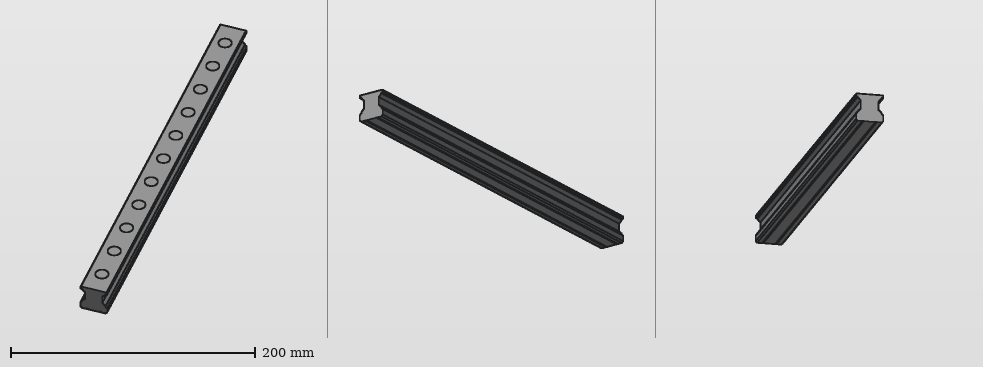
import cadquery as cq

length = 340.0
width = 23.0
height = 23.5

head_half_width = width / 2
neck_half_width = 7.5
raceway_half_width = 10.2
foot_top = 6.0
raceway_bottom = 8.0
waist_height = 14.3
lip_bottom = 21.0
base_chamfer = 1.5
top_chamfer = 0.5

raceway_rise = raceway_half_width - neck_half_width
raceway_top = 2 * waist_height - raceway_bottom
neck_bottom = raceway_bottom + raceway_rise
neck_top = raceway_top - raceway_rise

shoulder_top = foot_top + head_half_width - raceway_half_width

groove_inner_edge = 5.0
groove_width = 1.0
groove_depth = 0.5
groove_offset = groove_inner_edge + groove_width / 2

cap_count = 11
end_margin = 20.0
cap_pitch = (length - 2 * end_margin) / (cap_count - 1)
cap_diameter = 11.0
cap_recess = 0.17


def make_rail():
    """Extrude the waisted, left-right symmetric section along Y."""
    right_side = [
        (head_half_width - base_chamfer, 0),
        (head_half_width, base_chamfer),
        (head_half_width, foot_top),
        (raceway_half_width, shoulder_top),
        (raceway_half_width, raceway_bottom),
        (neck_half_width, neck_bottom),
        (neck_half_width, neck_top),
        (raceway_half_width, raceway_top),
        (raceway_half_width, lip_bottom),
        (head_half_width, lip_bottom),
        (head_half_width, height - top_chamfer),
        (head_half_width - top_chamfer, height),
    ]
    left_side = [(-x, z) for x, z in reversed(right_side)]
    section = cq.Workplane("XZ").polyline(right_side + left_side).close()
    return section.extrude(length / 2, both=True)


def make_cap_recesses():
    """Shallow round recesses, evenly spaced and centred on the rail."""
    return (
        cq.Workplane("XY", origin=(0, 0, height))
        .rarray(3.5, cap_pitch, 1, cap_count)
        .circle(cap_diameter / 2)
        .extrude(-cap_recess)
    )


def make_base_grooves():
    """Two full-length slots, one each side of the centreline."""
    return (
        cq.Workplane("XY")
        .rarray(2 * groove_offset, 3.5, 2, 1)
        .rect(groove_width, length)
        .extrude(groove_depth)
    )


result = make_rail().cut(make_cap_recesses()).cut(make_base_grooves())